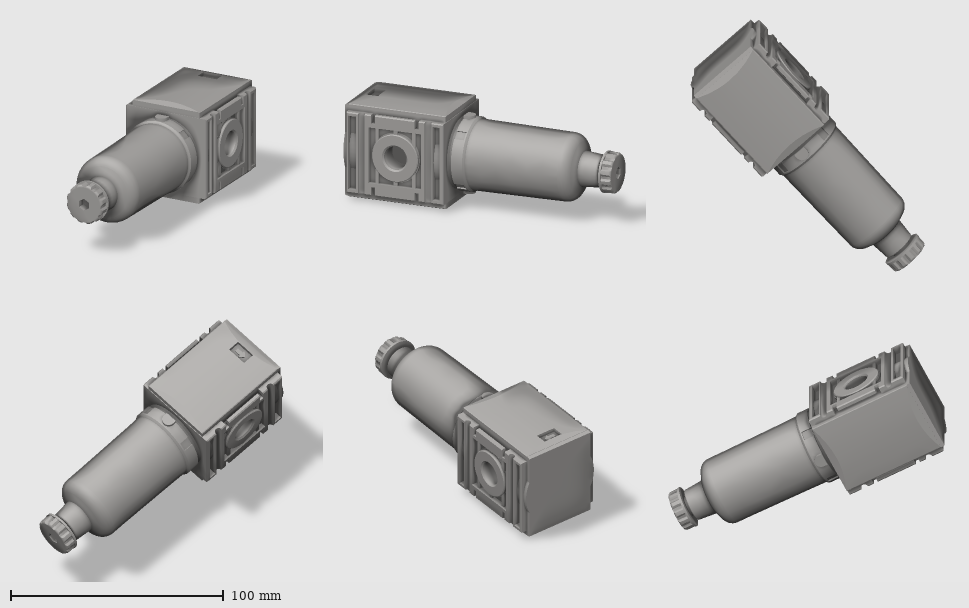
import cadquery as cq
import math

OVERALL_LENGTH = 132
EPS = 1.3

HOUSING_LENGTH = 51.7
CORE_HALF_WIDTH = 18.02
CORE_RADIUS = 20.0
CROWN_HEIGHT = 24.09
CROWN_EDGE_HEIGHT = 23.0
FRONT_SLOPE_LENGTH = 4.0
FRONT_SLOPE_EDGE = 23.0
BACK_SLOPE_START = 46.5
BACK_SLOPE_EDGE = 22.3
SEAM = 49.9
SEAM_UPPER = 23.0
SEAM_LOWER = 22.8
CROWN_SETBACK = 0.3
CROWN_BEVEL_WIDTH = 0.4
CROWN_BEVEL_HEIGHT = 0.3

PLATE_WIDTH = 10.0
PLATE_FRONT = 40.5
PLATE_BACK = 46.5
PLATE_FLOOR = 22.0
ARROW_HEIGHT = 0.7
ARROW_TAIL = -3.0
ARROW_NECK = 0.1
ARROW_TIP = 2.8
ARROW_SHAFT_HALF = 0.99
ARROW_HEAD_HALF = 2.18

SIDE_FACE = 21.5
SIDE_HALF_HEIGHT = 20.0
SIDE_LENGTH = 49.8
SIDE_MIDDLE = SIDE_LENGTH / 2
SIDE_CHAMFER = 0.5

POCKET_HEIGHT = 36.4
FRONT_POCKET = (2.0, 5.5)
BACK_POCKET = (44.6, 48.7)

GROOVE_RADIUS = 1.7
GROOVE_SPACING = 34.0
GROOVE_AXIS = 21.3

NOTCH_WIDTH = 2.1
NOTCH_SPACING = 22.3
NOTCH_FLOOR = 15.64
LIP_BACK_TOP = 19.5
LIP_BACK_FOOT = 18.6

WINDOW_LENGTH = 26.8
WINDOW_HEIGHT = 27.6
WINDOW_FLOOR = 18.9
RIB_FACE = 20.6
RIB_OFFSET = 9.4
SIDE_RIB_WIDTH = 1.6
MIDDLE_RIB_WIDTH = 2.0

BOSS_DIAMETER = 23.5
BOSS_CHAMFER = 0.4
BOSS_FOOT_DIAMETER = 24.4
BOSS_FOOT_FACE = 19.9
PORT_DIAMETER = 11.5
PORT_CHAMFER = 0.8
PORT_DEPTH = 10.5

NECK_RADIUS = 16.6
NECK_FLARE_RADIUS = 17.4
NECK_FLARE_LENGTH = 0.9
COLLAR_RADIUS = 18.02
COLLAR_TOP = -2.4
COLLAR_CHAMFER_TOP = -8.0
COLLAR_BOTTOM = -9.17
BOWL_TOP_RADIUS = 17.0
BOWL_BOTTOM_RADIUS = 16.5
SHOULDER_TOP = -56.0
SHOULDER_RADIUS = 5.7
SHOULDER_ANGLE = 22.5

BUTTON_RADIUS = 3.0
BUTTON_AXIS = -4.2
BUTTON_FACE = 19.3
RECESS_WIDTH = 4.4
RECESS_FLOOR = 17.2
RECESS_BOTTOM = -7.4

KNOB_BOTTOM = HOUSING_LENGTH - OVERALL_LENGTH
OUTLET_TOP_RADIUS = 8.6
OUTLET_BOTTOM_RADIUS = 7.8
OUTLET_CHAMFER = 0.4
STEM_RADIUS = 4.9
KNOB_FLANGE_RADIUS = 10.0
KNOB_FLANGE_THICKNESS = 1.0
KNOB_RADIUS = 9.8
KNOB_HEIGHT = 6.1
KNOB_ROUNDING = 1.2
OUTLET_GAP = 1.5
GRIP_COUNT = 12
GRIP_FLOOR = 8.8
GRIP_FLOOR_WIDTH = 1.2
GRIP_MOUTH_WIDTH = 3.7
HEX_ACROSS_FLATS = 5.1
HEX_DEPTH = 4.0


def box(x_range, y_range, z_range):
    """Axis-parallel box between the given limits."""
    size = [high - low for low, high in (x_range, y_range, z_range)]
    corner = (x_range[0], y_range[0], z_range[0])
    return cq.Workplane("XY").box(*size, centered=False).translate(corner)


def cylinder_along_x(radius, y, start, end):
    """Cylinder whose axis lies at height z = 0."""
    return cq.Workplane("YZ", origin=(start, y, 0)).circle(radius).extrude(end - start)


def crowned_core():
    """Block with arched top and bottom, sloped down at both ends, around a round barrel."""
    crown_edge = CORE_HALF_WIDTH - CROWN_BEVEL_WIDTH
    bevel_foot = CROWN_EDGE_HEIGHT - CROWN_BEVEL_HEIGHT
    arched = (
        cq.Workplane("XZ")
        .moveTo(-crown_edge, -CROWN_EDGE_HEIGHT)
        .threePointArc((0, -CROWN_HEIGHT), (crown_edge, -CROWN_EDGE_HEIGHT))
        .lineTo(CORE_HALF_WIDTH, -bevel_foot)
        .lineTo(CORE_HALF_WIDTH, bevel_foot)
        .lineTo(crown_edge, CROWN_EDGE_HEIGHT)
        .threePointArc((0, CROWN_HEIGHT), (-crown_edge, CROWN_EDGE_HEIGHT))
        .lineTo(-CORE_HALF_WIDTH, bevel_foot)
        .lineTo(-CORE_HALF_WIDTH, -bevel_foot)
        .close()
        .extrude(-HOUSING_LENGTH)
    )
    upper_profile = [
        (CROWN_SETBACK, FRONT_SLOPE_EDGE),
        (FRONT_SLOPE_LENGTH, CROWN_HEIGHT),
        (BACK_SLOPE_START, CROWN_HEIGHT),
        (SEAM, SEAM_UPPER),
        (SEAM, SEAM_LOWER),
        (HOUSING_LENGTH, BACK_SLOPE_EDGE),
    ]
    lower_profile = [(y, -z) for y, z in reversed(upper_profile)]
    sloped = (
        cq.Workplane("YZ")
        .polyline(upper_profile + lower_profile)
        .close()
        .extrude(CORE_HALF_WIDTH, both=True)
    )
    barrel = cq.Workplane("XZ").circle(CORE_RADIUS).extrude(-HOUSING_LENGTH)
    front_block = box(
        (-CORE_HALF_WIDTH, CORE_HALF_WIDTH), (0, SIDE_LENGTH), (-SIDE_HALF_HEIGHT, SIDE_HALF_HEIGHT)
    )
    return arched.intersect(sloped).union(front_block).union(barrel)


def arrow_recess():
    """Rectangular recess in the top with a raised arrow on its floor."""
    recess = box(
        (-PLATE_WIDTH / 2, PLATE_WIDTH / 2), (PLATE_FRONT, PLATE_BACK), (PLATE_FLOOR, CROWN_HEIGHT + EPS)
    )
    upper_half = [
        (ARROW_TAIL, ARROW_SHAFT_HALF),
        (ARROW_NECK, ARROW_SHAFT_HALF),
        (ARROW_NECK, ARROW_HEAD_HALF),
    ]
    lower_half = [(x, -y) for x, y in reversed(upper_half)]
    arrow = (
        cq.Workplane("XY", origin=(0, (PLATE_FRONT + PLATE_BACK) / 2, PLATE_FLOOR))
        .polyline(upper_half + [(ARROW_TIP, 0)] + lower_half)
        .close()
        .extrude(ARROW_HEIGHT)
    )
    return recess.cut(arrow)


def side_plate():
    """Plate on the +X side with chamfered outer edges, two pockets and edge notches."""
    plate = (
        cq.Workplane("YZ", origin=(CORE_HALF_WIDTH, SIDE_MIDDLE, 0))
        .rect(SIDE_LENGTH, 2 * SIDE_HALF_HEIGHT)
        .extrude(SIDE_FACE - CORE_HALF_WIDTH)
        .faces(">X")
        .chamfer(SIDE_CHAMFER)
    )
    through = (CORE_HALF_WIDTH, SIDE_FACE + EPS)
    for pocket in (FRONT_POCKET, BACK_POCKET):
        plate = plate.cut(box(through, pocket, (-POCKET_HEIGHT / 2, POCKET_HEIGHT / 2)))

    relief = (
        cq.Workplane("XZ", origin=(0, SIDE_MIDDLE, 0))
        .polyline(
            [
                (CORE_HALF_WIDTH, NOTCH_FLOOR),
                (LIP_BACK_FOOT, NOTCH_FLOOR),
                (LIP_BACK_TOP, SIDE_HALF_HEIGHT),
                (CORE_HALF_WIDTH, SIDE_HALF_HEIGHT),
            ]
        )
        .close()
        .extrude(NOTCH_SPACING / 2, both=True)
    )
    edge_cut = relief
    for y in (SIDE_MIDDLE - NOTCH_SPACING / 2, SIDE_MIDDLE + NOTCH_SPACING / 2):
        notch_range = (y - NOTCH_WIDTH / 2, y + NOTCH_WIDTH / 2)
        edge_cut = edge_cut.union(box(through, notch_range, (NOTCH_FLOOR, SIDE_HALF_HEIGHT + EPS)))
    return plate.cut(edge_cut).cut(edge_cut.mirror("XY"))


def port_window():
    """Material to remove around the port boss on the +X side, leaving the ribs and the boss."""
    half_length = WINDOW_LENGTH / 2
    half_height = WINDOW_HEIGHT / 2
    window = box(
        (WINDOW_FLOOR, SIDE_FACE + EPS),
        (SIDE_MIDDLE - half_length, SIDE_MIDDLE + half_length),
        (-half_height, half_height),
    )
    ribs = ((-RIB_OFFSET, SIDE_RIB_WIDTH), (0, MIDDLE_RIB_WIDTH), (RIB_OFFSET, SIDE_RIB_WIDTH))
    for offset, width in ribs:
        y = SIDE_MIDDLE + offset
        rib_range = (y - width / 2, y + width / 2)
        window = window.cut(box((WINDOW_FLOOR, RIB_FACE), rib_range, (-half_height, half_height)))
    boss = cylinder_along_x(BOSS_DIAMETER / 2, SIDE_MIDDLE, WINDOW_FLOOR, SIDE_FACE)
    foot = cylinder_along_x(BOSS_FOOT_DIAMETER / 2, SIDE_MIDDLE, WINDOW_FLOOR, BOSS_FOOT_FACE)
    return window.cut(boss.faces(">X").chamfer(BOSS_CHAMFER)).cut(foot)


def port_bore():
    """Blind bore with a chamfered mouth in the +X face."""
    bore = cylinder_along_x(PORT_DIAMETER / 2, SIDE_MIDDLE, SIDE_FACE - PORT_DEPTH, SIDE_FACE)
    mouth = (
        cq.Workplane("YZ", origin=(SIDE_FACE, SIDE_MIDDLE, 0))
        .circle(PORT_DIAMETER / 2 + PORT_CHAMFER)
        .extrude(-PORT_CHAMFER, taper=45)
    )
    return bore.union(mouth)


def side_grooves():
    """Two rounded grooves along the height of the +X face."""
    grooves = cq.Workplane("XY")
    for y in (SIDE_MIDDLE - GROOVE_SPACING / 2, SIDE_MIDDLE + GROOVE_SPACING / 2):
        rod = (
            cq.Workplane("XY", origin=(GROOVE_AXIS, y, 0))
            .circle(GROOVE_RADIUS)
            .extrude(SIDE_HALF_HEIGHT, both=True)
        )
        grooves = grooves.add(rod)
    return grooves.combine()


def make_housing():
    housing = crowned_core().cut(arrow_recess())
    plate = side_plate()
    housing = housing.union(plate).union(plate.mirror("YZ"))
    for cutter in (port_window(), port_bore(), side_grooves()):
        housing = housing.cut(cutter).cut(cutter.mirror("YZ"))
    return housing


def bowl_body():
    """Solid of revolution: neck, collar, bowl, outlet, stem and plain knob."""
    slope = math.radians(SHOULDER_ANGLE)
    arc_center_r = BOWL_BOTTOM_RADIUS - SHOULDER_RADIUS

    def shoulder_point(angle):
        """Point (r, y) on the shoulder arc, at an angle below the horizontal."""
        return (
            arc_center_r + SHOULDER_RADIUS * math.cos(angle),
            SHOULDER_TOP - SHOULDER_RADIUS * math.sin(angle),
        )

    arc_end_angle = math.pi / 2 - slope
    arc_end = shoulder_point(arc_end_angle)
    outlet_top = arc_end[1] - (arc_end[0] - OUTLET_TOP_RADIUS) * math.tan(slope)
    knob_top = KNOB_BOTTOM + KNOB_HEIGHT
    outlet_bottom = knob_top + OUTLET_GAP
    flange_bottom = knob_top - KNOB_FLANGE_THICKNESS

    profile = (
        cq.Workplane("XY")
        .moveTo(0, 0)
        .lineTo(NECK_FLARE_RADIUS, 0)
        .lineTo(NECK_RADIUS, -NECK_FLARE_LENGTH)
        .lineTo(NECK_RADIUS, COLLAR_TOP)
        .lineTo(COLLAR_RADIUS, COLLAR_TOP)
        .lineTo(COLLAR_RADIUS, COLLAR_CHAMFER_TOP)
        .lineTo(BOWL_TOP_RADIUS, COLLAR_BOTTOM)
        .lineTo(BOWL_BOTTOM_RADIUS, SHOULDER_TOP)
        .threePointArc(shoulder_point(arc_end_angle / 2), arc_end)
        .lineTo(OUTLET_TOP_RADIUS, outlet_top)
        .lineTo(OUTLET_BOTTOM_RADIUS, outlet_bottom + OUTLET_CHAMFER)
        .lineTo(OUTLET_BOTTOM_RADIUS - OUTLET_CHAMFER, outlet_bottom)
        .lineTo(STEM_RADIUS, outlet_bottom)
        .lineTo(STEM_RADIUS, knob_top)
        .lineTo(KNOB_FLANGE_RADIUS, knob_top)
        .lineTo(KNOB_FLANGE_RADIUS, flange_bottom)
        .lineTo(KNOB_RADIUS, flange_bottom)
        .lineTo(KNOB_RADIUS, KNOB_BOTTOM + KNOB_ROUNDING)
        .radiusArc((KNOB_RADIUS - KNOB_ROUNDING, KNOB_BOTTOM), KNOB_ROUNDING)
        .lineTo(0, KNOB_BOTTOM)
        .close()
    )
    return profile.revolve(360, (0, 0, 0), (0, 1, 0))


def collar_button():
    """U-shaped button standing on top of the collar."""
    return (
        cq.Workplane("XY")
        .moveTo(-BUTTON_RADIUS, COLLAR_TOP)
        .lineTo(-BUTTON_RADIUS, BUTTON_AXIS)
        .threePointArc((0, BUTTON_AXIS - BUTTON_RADIUS), (BUTTON_RADIUS, BUTTON_AXIS))
        .lineTo(BUTTON_RADIUS, COLLAR_TOP)
        .close()
        .extrude(BUTTON_FACE)
    )


def grip_notch():
    """Notch with sloped sides, as high as the knob below its flange."""
    floor_half = GRIP_FLOOR_WIDTH / 2
    widening = (GRIP_MOUTH_WIDTH - GRIP_FLOOR_WIDTH) / 2 / (KNOB_RADIUS - GRIP_FLOOR)
    outer = KNOB_RADIUS + EPS
    outer_half = floor_half + widening * (outer - GRIP_FLOOR)
    section = [
        (-floor_half, GRIP_FLOOR),
        (floor_half, GRIP_FLOOR),
        (outer_half, outer),
        (-outer_half, outer),
    ]
    return (
        cq.Workplane("XZ", origin=(0, KNOB_BOTTOM, 0))
        .polyline(section)
        .close()
        .extrude(KNOB_FLANGE_THICKNESS - KNOB_HEIGHT)
    )


def around_axis(shape, angle):
    """Copy of a shape turned about the Y axis."""
    return shape.rotate((0, 0, 0), (0, 1, 0), angle)


def make_bowl():
    bowl = bowl_body()

    button = collar_button()
    bowl = bowl.union(button).union(button.mirror("XY"))

    recess = box(
        (-RECESS_WIDTH / 2, RECESS_WIDTH / 2),
        (RECESS_BOTTOM, COLLAR_TOP),
        (RECESS_FLOOR, COLLAR_RADIUS + EPS),
    )
    for angle in (45, 135, 225, 315):
        bowl = bowl.cut(around_axis(recess, angle))

    grip = grip_notch()
    for index in range(GRIP_COUNT):
        bowl = bowl.cut(around_axis(grip, index * 360 / GRIP_COUNT))

    hex_across_corners = HEX_ACROSS_FLATS / math.cos(math.pi / 6)
    socket = cq.Workplane("XZ", origin=(0, KNOB_BOTTOM, 0)).polygon(6, hex_across_corners).extrude(-HEX_DEPTH)
    return bowl.cut(around_axis(socket, 30))


housing = make_housing()
bowl = make_bowl()

result = cq.Compound.makeCompound([housing.val(), bowl.val()])